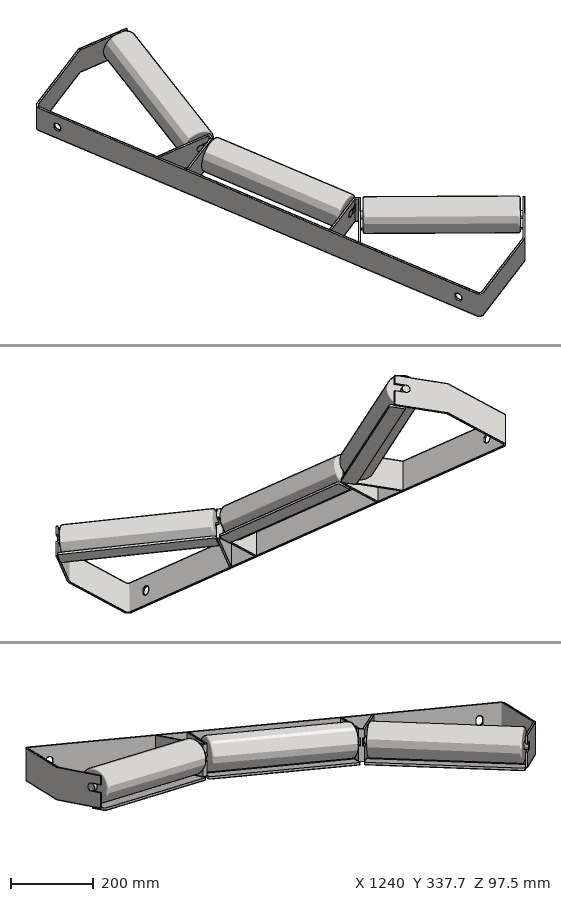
import cadquery as cq
import math


frame_length = 1240.0
strip_height = 80.0
strip_thickness = 5.0
bend_radius = 12.0

trough_angle = 30.0
level_axis_y = 100.0
side_center_x = 393.0
side_center_y = 206.0
axis_z = 48.0
station_gap = 392.0
arm_rise = 29.0

shell_diameter = 89.0
shell_length = 380.0
shell_edge_radius = 5.0
shaft_diameter = 20.0

bar_width = 40.0
bar_thickness = 6.0
bar_bottom_z = -5.0
bar_corner_radius = 6.0

mount_slot_width = 19.0
mount_slot_height = 25.0
mount_slot_inset = 63.0

half_length = frame_length / 2
arm_inner = station_gap / 2
arm_outer = arm_inner + strip_thickness
shaft_length = 2 * arm_outer
tilt = math.radians(trough_angle)

stations = [
    (-side_center_x, side_center_y, -trough_angle),
    (0.0, level_axis_y, 0.0),
    (side_center_x, side_center_y, trough_angle),
]


def at_station(body, station):
    """Move a body from station coordinates to its place in the assembly."""
    x, y, angle = station
    return body.rotate((0, 0, 0), (0, 0, 1), angle).translate((x, y, 0))


def left_station_point(along, across):
    """Plan position of a point given along and across the left roller's axis."""
    return (
        -side_center_x + along * math.cos(tilt) + across * math.sin(tilt),
        side_center_y - along * math.sin(tilt) + across * math.cos(tilt),
    )


def left_offset(path, distance):
    """Offset an open path to the left of its travel, with mitred corners."""
    headings = [math.atan2(b[1] - a[1], b[0] - a[0]) for a, b in zip(path, path[1:])]
    points = []
    for i, (x, y) in enumerate(path):
        before = headings[max(i - 1, 0)]
        after = headings[min(i, len(headings) - 1)]
        half_turn = (after - before) / 2
        normal = before + half_turn + math.pi / 2
        reach = distance / math.cos(half_turn)
        points.append((x + reach * math.cos(normal), y + reach * math.sin(normal)))
    return points


def strip(path, inner_path):
    """Upright strip between two plan paths."""
    return cq.Workplane("XY").polyline(path + inner_path[::-1]).close().extrude(strip_height)


def axial_cylinder(diameter, length):
    """Cylinder on the roller axis, centred on the station."""
    return cq.Workplane("YZ", origin=(-length / 2, 0, axis_z)).circle(diameter / 2).extrude(length)


def slot_cutters():
    """Open-ended slots that let every shaft drop into its arms."""
    slot_reach = 2 * arm_rise
    throat = cq.Workplane("XY").box(shaft_length, slot_reach, shaft_diameter)
    cutter = axial_cylinder(shaft_diameter, shaft_length).union(throat.translate((0, slot_reach / 2, axis_z)))
    return [at_station(cutter, station) for station in stations]


def make_frame():
    """Base strip with both ends bent up and then inward along the outer arms."""
    bend_y = side_center_y + (arm_outer - (half_length - side_center_x) * math.cos(tilt)) / math.sin(tilt)
    tip_x, tip_y = left_station_point(-arm_outer, arm_rise)
    outer = [
        (tip_x, tip_y),
        (-half_length, bend_y),
        (-half_length, 0),
        (half_length, 0),
        (half_length, bend_y),
        (-tip_x, tip_y),
    ]
    inner = left_offset(outer, strip_thickness)
    frame = strip(outer, inner)

    mid_z = strip_height / 2
    bends = range(1, len(outer) - 1)
    for path, radius in ((outer, bend_radius), (inner, bend_radius - strip_thickness)):
        for i in bends:
            corner = cq.NearestToPointSelector((*path[i], mid_z))
            frame = frame.edges("|Z").edges(corner).fillet(radius)

    mount_x = half_length - mount_slot_inset
    mount_slots = (
        cq.Workplane("XZ")
        .pushPoints([(-mount_x, mid_z), (mount_x, mid_z)])
        .slot2D(mount_slot_height, mount_slot_width, 90)
        .extrude(-strip_thickness)
    )
    frame = frame.cut(mount_slots)
    for cutter in slot_cutters():
        frame = frame.cut(cutter)
    return frame


def make_left_bracket():
    """Folded strip: inclined leg, short top link and upright leg, standing on the base."""
    shoulder = left_station_point(arm_outer, arm_rise - strip_thickness)
    foot = left_station_point(arm_outer, -side_center_y)
    upright_x = -arm_outer
    link_y = shoulder[1] - (upright_x - shoulder[0]) * math.tan(tilt)
    inside = [foot, shoulder, (upright_x, link_y), (upright_x, 0)]
    bracket = strip(inside, left_offset(inside, strip_thickness))

    trim = cq.Workplane("XY").rect(frame_length, frame_length).extrude(strip_height)
    bracket = bracket.cut(trim.translate((0, strip_thickness - frame_length / 2, 0)))
    for cutter in slot_cutters():
        bracket = bracket.cut(cutter)
    return bracket


def make_roller():
    """Shell with rounded end edges and a shaft reaching the outer faces of the arms."""
    shell = axial_cylinder(shell_diameter, shell_length)
    shell = shell.faces("<X or >X").edges().fillet(shell_edge_radius)
    return shell.union(axial_cylinder(shaft_diameter, shaft_length))


def make_tie_bar():
    """Flat bar under the upper half of a roller, fitted between the two arms."""
    return (
        cq.Workplane("XY", origin=(0, bar_width / 2, bar_bottom_z))
        .rect(station_gap, bar_width)
        .extrude(bar_thickness)
        .edges("|Z and >Y")
        .fillet(bar_corner_radius)
    )


frame = make_frame()
left_bracket = make_left_bracket()
brackets = [left_bracket, left_bracket.mirror("YZ")]
rollers = [at_station(make_roller(), station) for station in stations]
tie_bars = [at_station(make_tie_bar(), station) for station in stations]

bodies = [frame, *brackets, *rollers, *tie_bars]
result = cq.Compound.makeCompound([body.solids().val() for body in bodies])